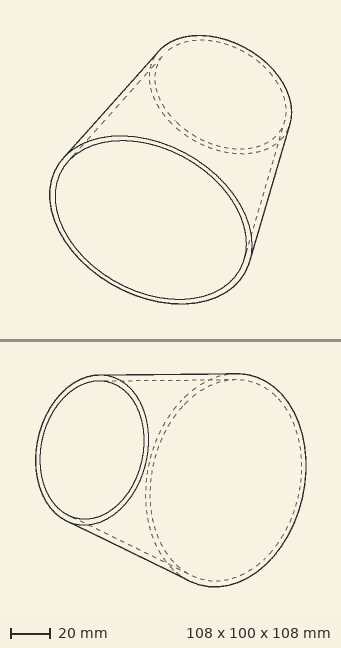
import cadquery as cq

wide_diameter = 108.0
narrow_diameter = 76.0
length = 100.0
wall = 3.0

wide_radius = wide_diameter / 2
narrow_radius = narrow_diameter / 2

wall_section = [
    (wide_radius - wall, 0),
    (wide_radius, 0),
    (narrow_radius, length),
    (narrow_radius - wall, length),
]

result = (
    cq.Workplane("XY")
    .polyline(wall_section)
    .close()
    .revolve(360, (0, 0, 0), (0, 1, 0))
)